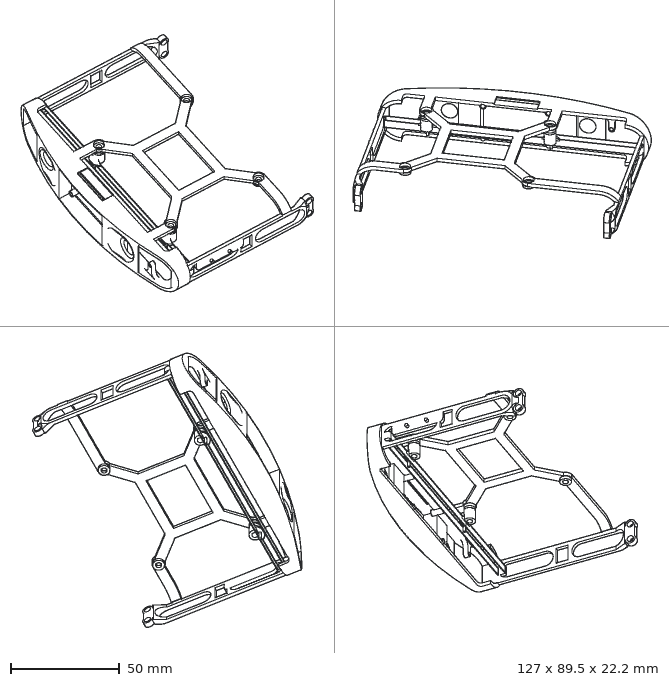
import cadquery as cq
import math

width = 127.0
length = 89.5
height = 22.2
wall = 1.9
bow_depth = 11.5
bumper_back = 18.0
plate_back = 12.1
plate_corner_radius = 1.9
cavity_half_width = 59.5
outer_radius = height / 2
inner_radius = outer_radius - wall
arc_center_x = width / 2 - outer_radius
top_z = height / 2
plate_under_z = top_z - wall

window_half_width = 17.3
panel_outer_x = 40.8
panel_back = 7.7
panel_skin_back = 5.2
panel_block_x = 27.7
lip_thickness = 0.6
camera_x = 32.4
camera_bore_diameter = 7.6
camera_rim_diameter = 10.5
camera_rim_y = 4.3
view_cone_slope = 2.3
view_cone_half_height = 7.9
screw_x = 15.4
screw_z = 8.9
screw_boss_diameter = 3.0
screw_hole_diameter = 2.0
screw_boss_front = 6.1
notch_half_width = 10.2
notch_front = 6.1
notch_depth = 0.6

tab_x = 44.7
tab_width = 2.8
tab_front = 8.4
tab_back = 10.8
tab_tip_z = 1.8
tab_hole_z = 3.2
tab_hole_diameter = 1.7
tab_flare_radius = 2.7

rail_outer_x = 61.3
rail_half_height = 6.1
rail_end_y = 84.6
slot_half_height = 4.1
slot_length = 27.4
rear_slot_end = 83.5
front_slot_start = 18.9
rail_hole_start = 47.9
rail_hole_end = 54.0

ear_outer_x = 59.7
ear_inner_x = 57.0
ear_eye_z = 4.1
ear_eye_diameter = 5.0
ear_eye_y = length - ear_eye_diameter / 2
ear_hole_diameter = 3.0
ear_web_setback = 0.4
ear_bend_start = 78.5
ear_bend_end = 84.1
ear_slope_end = 87.1
rail_round_radius = 6.1

infill_start = 23.1
infill_end = 49.3
infill_bottom = -1.0
infill_corner_radius = 1.9
pin_diameter = 1.5
pin_length = 1.4
pin_z = 1.5
pin_ys = (31.2, 41.3)

bridge_x = 10.4
bridge_y = 48.4
frame_size_x = 39.2
frame_size_y = 29.8
frame_opening_x = 29.1
frame_opening_y = 20.1
arm_width = 5.0
post_offset_x = 29.0
post_offset_y = 24.5
rear_bar_shift = 0.8
front_arm_shift = 0.8
pad_diameter = 6.2
post_diameter = 5.5
post_hole_diameter = 2.7
counterbore_diameter = 5.0
counterbore_depth = 1.5
upper_post_bottom = 7.7
lower_post_top = 6.7
lower_post_bottom = 0.9
foot_radius = 4.6
foot_front = 19.5
foot_pin_y = 21.2
foot_pin_diameter = 1.17

strip_thickness = 0.4
strip_half_height = 1.9
strip_back = 22.2
strip_front = 18.2
strip_end_radius = 1.5

left_post_x = bridge_x - post_offset_x
right_post_x = bridge_x + post_offset_x
front_post_y = bridge_y - post_offset_y
rear_post_y = bridge_y + post_offset_y


def block(x0, x1, y0, y1, z0, z1):
    return cq.Workplane("XY").box(x1 - x0, y1 - y0, z1 - z0, centered=False).translate((x0, y0, z0))


def cylinder_z(x, y, diameter, z0, z1):
    return cq.Workplane("XY", origin=(x, y, z0)).circle(diameter / 2).extrude(z1 - z0)


def cylinder_y(x, z, diameter, y0, y1):
    return cq.Workplane("XZ", origin=(x, y0, z)).circle(diameter / 2).extrude(y0 - y1)


def cylinder_x(y, z, diameter, x0, x1):
    return cq.Workplane("YZ", origin=(x0, y, z)).circle(diameter / 2).extrude(x1 - x0)


def stadium(radius, y0, y1):
    """Stadium in the XZ plane whose round ends are centred on the bumper's end arcs."""
    return (
        cq.Workplane("XZ", origin=(0, y0, 0))
        .slot2D(2 * (arc_center_x + radius), 2 * radius)
        .extrude(y0 - y1)
    )


def bumper_plan():
    """Plan of the bumper: bowed front, shallow plate in the middle and deeper ends."""
    return (
        cq.Workplane("XY", origin=(0, 0, -top_z))
        .moveTo(-width / 2, bow_depth)
        .threePointArc((0, 0), (width / 2, bow_depth))
        .lineTo(width / 2, bumper_back)
        .lineTo(arc_center_x, bumper_back)
        .lineTo(arc_center_x, plate_back)
        .lineTo(-arc_center_x, plate_back)
        .lineTo(-arc_center_x, bumper_back)
        .lineTo(-width / 2, bumper_back)
        .close()
        .extrude(height)
        .edges("|Z")
        .edges(cq.selectors.BoxSelector(
            (-arc_center_x - wall, plate_back - wall, -top_z),
            (arc_center_x + wall, plate_back + wall, top_z),
        ))
        .fillet(plate_corner_radius)
    )


def camera_panel():
    """Panel on the +X side; the part that carries the camera is a thinner skin."""
    return (
        cq.Workplane("XY", origin=(0, 0, -plate_under_z))
        .moveTo(window_half_width, 0)
        .lineTo(panel_outer_x, 0)
        .lineTo(panel_outer_x, panel_skin_back)
        .lineTo(panel_block_x, panel_skin_back)
        .lineTo(panel_block_x, panel_back)
        .lineTo(window_half_width, panel_back)
        .close()
        .extrude(2 * plate_under_z)
    )


def camera_cutter():
    """Camera opening on the +X side.

    From front to back: a wide cone flattened above and below, and a rounded rim that ends as a
    round bore.
    """
    rim_radius = camera_rim_diameter / 2
    bore_radius = camera_bore_diameter / 2
    mouth_radius = rim_radius + view_cone_slope * camera_rim_y
    rim_round = panel_skin_back - camera_rim_y
    rim_step = rim_radius - bore_radius
    rim_middle = (
        rim_radius - rim_step * math.sqrt(0.5),
        camera_rim_y + rim_round * (1 - math.sqrt(0.5)),
    )
    cone = (
        cq.Workplane("XY")
        .lineTo(mouth_radius, 0)
        .lineTo(rim_radius, camera_rim_y)
        .lineTo(0, camera_rim_y)
        .close()
        .revolve(360, (0, 0, 0), (0, 1, 0))
    )
    flattening = block(
        -mouth_radius, mouth_radius, 0, camera_rim_y, -view_cone_half_height, view_cone_half_height
    )
    bore = (
        cq.Workplane("XY")
        .moveTo(0, camera_rim_y)
        .lineTo(rim_radius, camera_rim_y)
        .threePointArc(rim_middle, (bore_radius, panel_skin_back))
        .lineTo(bore_radius, panel_back)
        .lineTo(0, panel_back)
        .close()
        .revolve(360, (0, 0, 0), (0, 1, 0))
    )
    return cone.intersect(flattening).union(bore).translate((camera_x, 0, 0))


def tab(x, direction):
    """Flared tab with a pin hole, from the top (+1) or bottom (-1) plate toward mid height."""
    half = tab_width / 2
    root_z = plate_under_z + wall / 2
    flare_z = plate_under_z - tab_flare_radius
    bend = tab_flare_radius * (1 - math.sqrt(0.5))
    body = (
        cq.Workplane("XZ", origin=(0, tab_front, 0))
        .moveTo(-half - tab_flare_radius, root_z)
        .lineTo(-half - tab_flare_radius, plate_under_z)
        .threePointArc((-half - bend, plate_under_z - bend), (-half, flare_z))
        .lineTo(-half, tab_hole_z)
        .threePointArc((0, tab_tip_z), (half, tab_hole_z))
        .lineTo(half, flare_z)
        .threePointArc((half + bend, plate_under_z - bend), (half + tab_flare_radius, plate_under_z))
        .lineTo(half + tab_flare_radius, root_z)
        .close()
        .extrude(tab_front - tab_back)
        .cut(cylinder_y(0, tab_hole_z, tab_hole_diameter, tab_front, tab_back))
    )
    if direction < 0:
        body = body.mirror("XY")
    return body.translate((x, 0, 0))


def make_bumper():
    plan = bumper_plan()
    cavity = stadium(inner_radius, 0, bumper_back).intersect(
        block(-cavity_half_width, cavity_half_width, 0, bumper_back, -top_z, top_z)
    )
    body = stadium(outer_radius, 0, bumper_back).cut(cavity)
    panel = camera_panel()
    opening = camera_cutter()
    body = body.union(panel).union(panel.mirror("YZ"))
    body = body.cut(opening).cut(opening.mirror("YZ"))
    lip_z = top_z - lip_thickness
    body = body.cut(block(-window_half_width, window_half_width, 0, panel_back, -lip_z, lip_z))
    for x in (-screw_x, screw_x):
        for z in (-screw_z, screw_z):
            body = body.union(cylinder_y(x, z, screw_boss_diameter, screw_boss_front, plate_back))
            body = body.cut(cylinder_y(x, z, screw_hole_diameter, screw_boss_front, plate_back))
    body = body.cut(block(
        -notch_half_width, notch_half_width, notch_front, plate_back, top_z - notch_depth, top_z
    ))
    body = body.union(tab(-tab_x, 1)).union(tab(tab_x, -1))
    return body.intersect(plan)


def rail_slot(start):
    return (
        cq.Workplane("YZ", origin=(-rail_outer_x, start + slot_length / 2, 0))
        .slot2D(slot_length, 2 * slot_half_height)
        .extrude(rail_outer_x - ear_inner_x)
    )


def make_rail():
    """Rail on the -X side, bent inward at the back into a pair of hinge eyes."""
    plan = (
        cq.Workplane("XY", origin=(0, 0, -top_z))
        .moveTo(-rail_outer_x, bumper_back)
        .lineTo(-rail_outer_x, rail_end_y)
        .lineTo(-ear_outer_x, ear_slope_end)
        .lineTo(-ear_outer_x, length)
        .lineTo(-ear_inner_x, length)
        .lineTo(-ear_inner_x, ear_bend_end)
        .lineTo(-cavity_half_width, ear_bend_start)
        .lineTo(-cavity_half_width, bumper_back)
        .close()
        .extrude(height)
    )
    side_profile = block(
        -rail_outer_x, -ear_inner_x, bumper_back, rail_end_y, -rail_half_height, rail_half_height
    )
    web_end = length - ear_web_setback
    side_profile = side_profile.union(
        block(-rail_outer_x, -ear_inner_x, rail_end_y, web_end, -ear_eye_z, ear_eye_z)
    )
    eye_zs = (-ear_eye_z, ear_eye_z)
    for z in eye_zs:
        side_profile = side_profile.union(
            cylinder_x(ear_eye_y, z, ear_eye_diameter, -rail_outer_x, -ear_inner_x)
        )
    body = plan.intersect(side_profile)
    for z in eye_zs:
        body = body.cut(cylinder_x(ear_eye_y, z, ear_eye_diameter, -rail_outer_x, -ear_outer_x))
        body = body.cut(cylinder_x(ear_eye_y, z, ear_hole_diameter, -rail_outer_x, -ear_inner_x))

    round_y = rear_slot_end - slot_half_height
    relief_radius = math.hypot(rail_end_y - round_y, rail_half_height)
    kept_cone = (
        cq.Workplane("XY")
        .moveTo(-rail_outer_x, round_y)
        .lineTo(-rail_outer_x, round_y + rail_round_radius)
        .lineTo(-ear_outer_x, round_y + relief_radius)
        .lineTo(-ear_outer_x, round_y)
        .close()
        .revolve(360, (0, round_y, 0), (1, round_y, 0))
    )
    corner_zone = block(
        -rail_outer_x, -ear_outer_x, round_y, rail_end_y, -rail_half_height, rail_half_height
    )
    body = body.cut(corner_zone.cut(kept_cone))

    body = body.cut(rail_slot(front_slot_start)).cut(rail_slot(rear_slot_end - slot_length))
    return body.cut(block(
        -rail_outer_x, -cavity_half_width, rail_hole_start, rail_hole_end,
        -slot_half_height, slot_half_height,
    ))


def make_rail_infill():
    """Panel that closes the upper part of the +X rail's front slot, with two outer pins."""
    panel = (
        block(
            cavity_half_width, rail_outer_x, infill_start, infill_end, infill_bottom, rail_half_height
        )
        .edges("|X and <Z")
        .fillet(infill_corner_radius)
    )
    for y in pin_ys:
        panel = panel.union(
            cylinder_x(y, pin_z, pin_diameter, cavity_half_width, rail_outer_x + pin_length)
        )
    return panel


def make_rear_bar():
    """Strap over the back whose ends curve down like the bumper and land on the rails."""
    half = arm_width / 2
    y0 = rear_post_y + rear_bar_shift - half
    y1 = y0 + arm_width
    strap = stadium(outer_radius, y0, y1).cut(stadium(inner_radius, y0, y1))
    strap = strap.intersect(block(-rail_outer_x, rail_outer_x, y0, y1, rail_half_height, top_z))
    return strap.cut(block(left_post_x, right_post_x, y0, y1, -top_z, top_z))


def make_foot(x):
    """Flare that ties a lower post to the cross member."""
    r = post_diameter / 2
    flare = foot_radius - r
    bend = flare * (1 - math.sqrt(0.5))
    base_z = strip_half_height
    foot = (
        cq.Workplane("XZ")
        .moveTo(0, lower_post_bottom)
        .lineTo(foot_radius, lower_post_bottom)
        .lineTo(foot_radius, base_z)
        .threePointArc((r + bend, base_z + bend), (r, base_z + flare))
        .lineTo(0, base_z + flare)
        .close()
        .revolve(360, (0, 0, 0), (0, 1, 0))
        .translate((x, front_post_y, 0))
    )
    return foot.intersect(block(
        x - foot_radius, x + foot_radius, foot_front, strip_back, -top_z, top_z
    ))


def make_bridge():
    frame = block(
        bridge_x - frame_size_x / 2, bridge_x + frame_size_x / 2,
        bridge_y - frame_size_y / 2, bridge_y + frame_size_y / 2, plate_under_z, top_z,
    )
    body = frame.union(make_rear_bar())
    for sx in (-1, 1):
        post_x = bridge_x + sx * post_offset_x
        arm_x = post_x + sx * front_arm_shift
        body = body.union(block(
            arm_x - arm_width / 2, arm_x + arm_width / 2, plate_back - wall, front_post_y,
            plate_under_z, top_z,
        ))
        for sy in (-1, 1):
            post_y = bridge_y + sy * post_offset_y
            arm_length = math.sqrt(2) * (post_offset_y - frame_opening_y / 2)
            arm = (
                cq.Workplane("XY", origin=(0, 0, plate_under_z))
                .rect(arm_length, arm_width)
                .extrude(wall)
                .translate((-arm_length / 2, 0, 0))
                .rotate((0, 0, 0), (0, 0, 1), math.degrees(math.atan2(sy, sx)))
                .translate((post_x, post_y, 0))
            )
            body = body.union(arm)
            body = body.union(cylinder_z(post_x, post_y, pad_diameter, plate_under_z, top_z))
            body = body.union(cylinder_z(post_x, post_y, post_diameter, upper_post_bottom, top_z))
        body = body.union(
            cylinder_z(post_x, front_post_y, post_diameter, lower_post_bottom, lower_post_top)
        )
        body = body.union(make_foot(post_x))
        body = body.union(cylinder_z(
            post_x, foot_pin_y, foot_pin_diameter, -slot_half_height, lower_post_bottom
        ))
    body = body.cut(block(
        bridge_x - frame_opening_x / 2, bridge_x + frame_opening_x / 2,
        bridge_y - frame_opening_y / 2, bridge_y + frame_opening_y / 2, plate_under_z, top_z,
    ))
    for x in (left_post_x, right_post_x):
        for y in (front_post_y, rear_post_y):
            body = body.cut(cylinder_z(x, y, post_hole_diameter, lower_post_bottom, top_z))
            body = body.cut(
                cylinder_z(x, y, counterbore_diameter, top_z - counterbore_depth, top_z)
            )
    return body


def make_strip(y):
    return block(
        -cavity_half_width, cavity_half_width, y, y + strip_thickness,
        -strip_half_height, strip_half_height,
    )


def make_strip_end():
    """Tab on the -X side that fills the rail slot's end and rounds into the rear strip."""
    return (
        block(
            -rail_outer_x, -cavity_half_width, bumper_back, strip_back,
            -strip_half_height, strip_half_height,
        )
        .edges("|Z and <X and >Y")
        .fillet(strip_end_radius)
    )


rail = make_rail()
strip_end = make_strip_end()
rear_strip = make_strip(strip_back - strip_thickness)
front_strip = make_strip(strip_front)

result = make_bumper().union(rail).union(rail.mirror("YZ")).union(make_rail_infill())
result = result.union(strip_end).union(strip_end.mirror("YZ"))
result = result.union(rear_strip).union(front_strip).union(make_bridge())